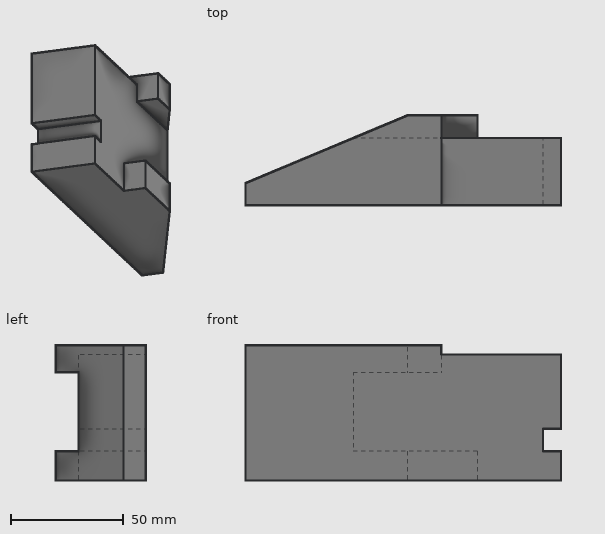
import cadquery as cq

length = 140.0
depth = 40.0
height = 60.0

nose_depth = 10.0
ramp_end_x = 72.0
body_depth = 30.0
step_x = 87.0
step_drop = 4.0

lower_ear_end_x = 103.0
lower_ear_height = 13.0
upper_ear_height = 12.0
ear_depth = depth - body_depth

notch_length = 8.0
notch_height = 10.0
notch_bottom = lower_ear_height


def box_at(x, y, z, size_x, size_y, size_z):
    """Box with its minimum corner at (x, y, z)."""
    return cq.Workplane("XY").box(size_x, size_y, size_z, centered=False).translate((x, y, z))


plan = [
    (0, 0),
    (length, 0),
    (length, body_depth),
    (lower_ear_end_x, body_depth),
    (lower_ear_end_x, depth),
    (ramp_end_x, depth),
    (0, nose_depth),
]
body = cq.Workplane("XY").polyline(plan).close().extrude(height)

top_step = box_at(step_x, 0, height - step_drop, length - step_x, depth, step_drop)

channel_height = height - lower_ear_height - upper_ear_height
channel = box_at(0, body_depth, lower_ear_height, length, ear_depth, channel_height)

upper_ear_relief = box_at(
    step_x, body_depth, lower_ear_height, length - step_x, ear_depth, height - lower_ear_height
)

end_notch = box_at(length - notch_length, 0, notch_bottom, notch_length, body_depth, notch_height)

result = body.cut(top_step).cut(channel).cut(upper_ear_relief).cut(end_notch)